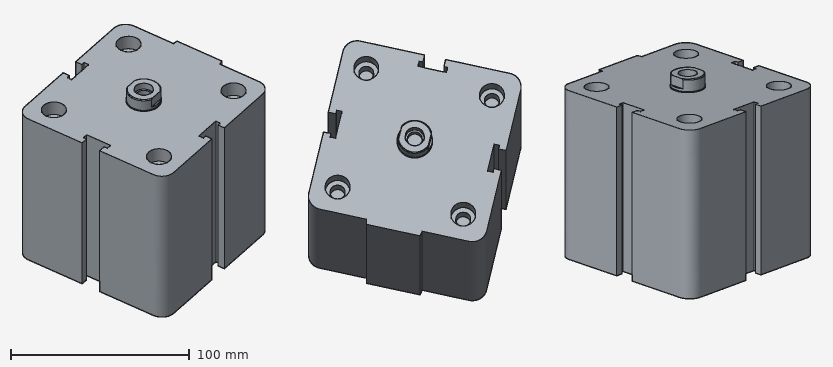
import cadquery as cq

WIDTH = 102.0
HALF_WIDTH = WIDTH / 2
TOTAL_HEIGHT = 109.0
HOUSING_HEIGHT = 101.0
CORNER_RADIUS = 8.2

BOTTOM_CAP_HEIGHT = 16.1
TOP_CAP_HEIGHT = 16.6
BARREL_HEIGHT = HOUSING_HEIGHT - BOTTOM_CAP_HEIGHT - TOP_CAP_HEIGHT

PAD_HEIGHT = 2.9
PAD_BASE_WIDTH = 31.8
PAD_TOP_WIDTH = 30.8

SLOT_MOUTH_WIDTH = 12.0
SLOT_INNER_WIDTH = 16.4
SLOT_LIP_DEPTH = 4.4
SLOT_DEPTH = 7.4
SLOT_ANGLES = (-90, 0, 90)

HOLE_SPACING = 72.0
HOLE_DIAMETER = 8.4
HOLE_DEPTH = TOP_CAP_HEIGHT
COUNTERBORE_DIAMETER = 14.0
COUNTERBORE_DEPTH = 8.9

ROD_DIAMETER = 19.5
ROD_LENGTH = TOTAL_HEIGHT - HOUSING_HEIGHT
ROD_CHAMFER = 0.5
COLLAR_DIAMETER = 20.0
COLLAR_HEIGHT = 0.5
FLATS_DISTANCE = 17.1
FLATS_LENGTH = 5.9
ROD_BORE_DIAMETER = 8.4
ROD_RECESS_DIAMETER = 10.7
ROD_RECESS_DEPTH = 4.3


def make_slot_profile(angle):
    """T-shaped face for the -Y side, turned about Z by the given angle."""
    half_mouth = SLOT_MOUTH_WIDTH / 2
    half_inner = SLOT_INNER_WIDTH / 2
    lip_y = SLOT_LIP_DEPTH - HALF_WIDTH
    floor_y = SLOT_DEPTH - HALF_WIDTH
    outline = [
        (-half_mouth, -HALF_WIDTH),
        (-half_mouth, lip_y),
        (-half_inner, lip_y),
        (-half_inner, floor_y),
        (half_inner, floor_y),
        (half_inner, lip_y),
        (half_mouth, lip_y),
        (half_mouth, -HALF_WIDTH),
    ]
    sketch = cq.Sketch().polygon(outline + outline[:1])
    return sketch.moved(cq.Location(cq.Vector(0, 0, 0), cq.Vector(0, 0, 1), angle))


def make_housing_profile():
    """Rounded square with the tapered pad added and the T-slots removed."""
    pad_top_y = HALF_WIDTH + PAD_HEIGHT
    pad = [
        (-PAD_BASE_WIDTH / 2, 0),
        (-PAD_BASE_WIDTH / 2, HALF_WIDTH),
        (-PAD_TOP_WIDTH / 2, pad_top_y),
        (PAD_TOP_WIDTH / 2, pad_top_y),
        (PAD_BASE_WIDTH / 2, HALF_WIDTH),
        (PAD_BASE_WIDTH / 2, 0),
    ]
    profile = cq.Sketch().rect(WIDTH, WIDTH).vertices().fillet(CORNER_RADIUS).reset()
    profile = profile.polygon(pad + pad[:1])
    for angle in SLOT_ANGLES:
        profile = profile.face(make_slot_profile(angle), mode="s")
    return profile.clean()


def make_housing():
    profile = make_housing_profile()

    housing = cq.Workplane("XY").placeSketch(profile).extrude(BOTTOM_CAP_HEIGHT)
    base_z = BOTTOM_CAP_HEIGHT
    for height in (BARREL_HEIGHT, TOP_CAP_HEIGHT):
        section = cq.Workplane("XY", origin=(0, 0, base_z)).placeSketch(profile).extrude(height)
        housing = housing.union(section, clean=False)
        base_z += height

    return (
        housing.copyWorkplane(cq.Workplane("XY", origin=(0, 0, HOUSING_HEIGHT)))
        .rect(HOLE_SPACING, HOLE_SPACING, forConstruction=True)
        .vertices()
        .cboreHole(HOLE_DIAMETER, COUNTERBORE_DIAMETER, COUNTERBORE_DEPTH, depth=HOLE_DEPTH, clean=False)
    )


def make_rod():
    base = cq.Workplane("XY", origin=(0, 0, HOUSING_HEIGHT))
    top = cq.Workplane("XY", origin=(0, 0, TOTAL_HEIGHT))
    shaft = base.circle(ROD_DIAMETER / 2).extrude(ROD_LENGTH).faces(">Z").chamfer(ROD_CHAMFER)

    flats = top.rect(FLATS_DISTANCE, ROD_DIAMETER).extrude(-FLATS_LENGTH)
    below_flats = base.circle(ROD_DIAMETER / 2).extrude(ROD_LENGTH - FLATS_LENGTH)
    shaft = shaft.intersect(flats.union(below_flats))

    collar = base.circle(COLLAR_DIAMETER / 2).extrude(COLLAR_HEIGHT)
    return (
        shaft.union(collar)
        .copyWorkplane(top)
        .cboreHole(ROD_BORE_DIAMETER, ROD_RECESS_DIAMETER, ROD_RECESS_DEPTH)
    )


housing = make_housing()
rod = make_rod()
result = cq.Compound.makeCompound([housing.solids().val(), rod.solids().val()])